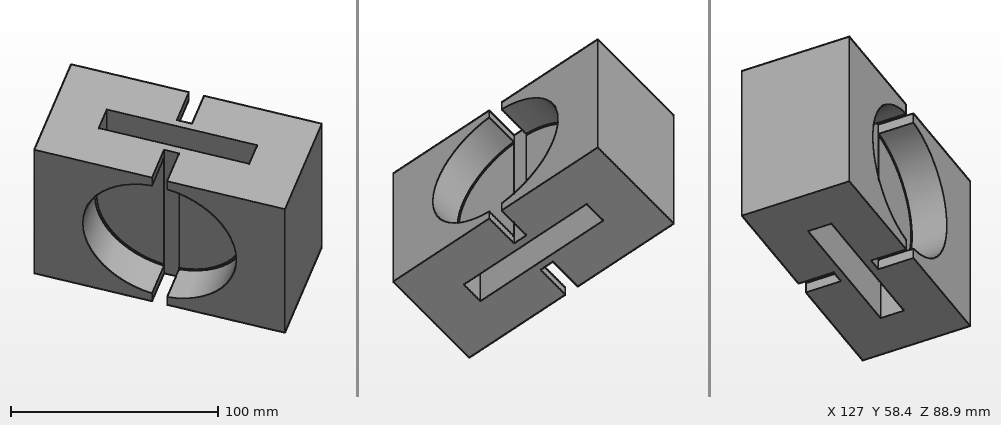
import cadquery as cq

length = 127.0
depth = 58.4
height = 88.9

slot_length = 76.2
slot_width = 12.7

groove_width = 7.6
groove_depth = 19.0

step = 0.1
ledge_width = 1.0
pocket_radius = 38.9
floor_radius = pocket_radius - ledge_width
floor_depth = groove_depth - step
ledge_depth = floor_depth - step


def pocket_cutter():
    """Round pocket in the -Y face with a narrow ledge around its floor."""
    face = cq.Workplane("XZ", origin=(0, -depth / 2, 0))
    wide = face.circle(pocket_radius).extrude(-ledge_depth)
    floor = face.circle(floor_radius).extrude(-floor_depth)
    return wide.union(floor)


def groove_cutter():
    """Full-height groove in the middle of the -Y face."""
    groove = cq.Workplane("XY").box(groove_width, groove_depth, height)
    return groove.translate((0, (groove_depth - depth) / 2, 0))


block = cq.Workplane("XY").box(length, depth, height)
slot = cq.Workplane("XY").box(slot_length, slot_width, height)
face_cutter = pocket_cutter().union(groove_cutter())

result = block.cut(slot).cut(face_cutter).cut(face_cutter.mirror("XZ"))